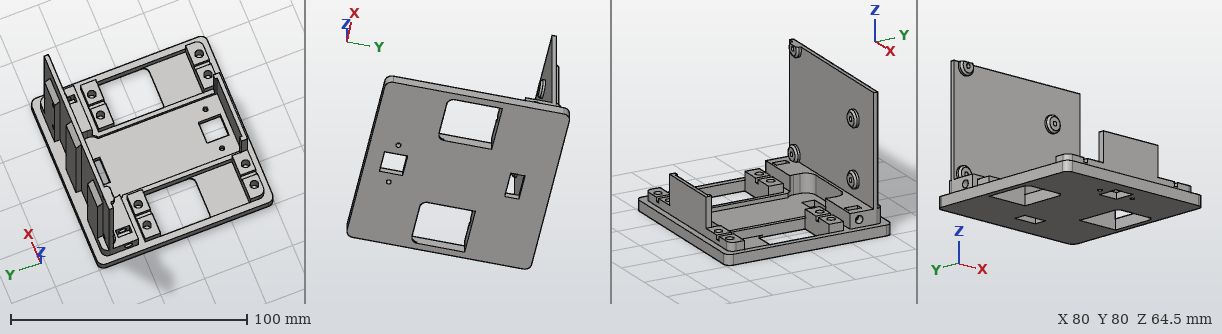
import cadquery as cq

plate_side = 80
plate_height = 5.0
corner_radius = 3.0

inner_side = 74.0
inner_edge = inner_side / 2
inner_corner_radius = 2.9

strip_width = 32
strip_edge = strip_width / 2
recess_width = 28
recess_floor = 3.0
recess_front_y = -35.2

pocket_x = (inner_edge + strip_edge) / 2
pocket_back_y = 18.0
pocket_floor = 1.0
opening_front_y = -12.5
opening_corner_radius = 2.8

post_depth = 7.0
post_top = 9.0
post_hole_diameter = 3.5
post_hole_spacing = 10.0
post_hole_inset = 3.0
post_hole_depth = 6.4
groove_size = 2.0

stop_depth = 2.8
stop_top = 23.0

block_front_y = 21.0
block_top = 12
bay_back_y = 31.0
bay_depth = 13.0
bay_corner_radius = 5.0

slot_x = 31.5
slot_width = 3.3
slot_length = 6.3
slot_y = 25.5
slot_floor = 6.0
screw_hole_z = 8.5
screw_hole_diameter = post_hole_diameter
screw_hole_depth = 9.6

wall_front_y = 32.5
wall_thickness = 2.0
wall_back_y = wall_front_y + wall_thickness
wall_top = 64.5

rib_depth = inner_edge - wall_back_y
rib_width = 11.2
side_rib_x = 24.5
side_rib_top = 54.4
middle_rib_top = wall_top

standoffs = [(-31.5, 14.9), (-30.5, 62.8), (20.3, 20), (20.3, 47.6)]
standoff_diameter = 8
standoff_length = 2.0
standoff_chamfer = 1.0
small_hole_diameter = 2.0

cable_opening = (12, 6.2)
cable_opening_y = 24.6
sensor_opening = (10.0, 10.0)
sensor_y = -28
sensor_hole_x = 9.4


def box(x_range, y_range, z_range):
    size = [high - low for low, high in (x_range, y_range, z_range)]
    start = (x_range[0], y_range[0], z_range[0])
    return cq.Workplane("XY").box(*size, centered=False).translate(start)


def upright_hole(x, y, diameter, z_range):
    low, high = z_range
    return cq.Workplane("XY", origin=(x, y, low)).circle(diameter / 2).extrude(high - low)


def hole_along_y(x, z, diameter, y_range):
    low, high = y_range
    return cq.Workplane("XZ", origin=(x, high, z)).circle(diameter / 2).extrude(high - low)


def base_plate():
    return (
        cq.Workplane("XY")
        .rect(plate_side, plate_side)
        .extrude(plate_height)
        .edges("|Z")
        .fillet(corner_radius)
    )


def inner_envelope():
    return (
        cq.Workplane("XY")
        .rect(inner_side, inner_side)
        .extrude(wall_top)
        .edges("|Z")
        .fillet(inner_corner_radius)
    )


def pocket_range(side):
    return sorted((side * strip_edge, side * inner_edge))


def side_pocket(side):
    x_range = pocket_range(side)
    floor_cut = box(x_range, (-inner_edge, pocket_back_y), (pocket_floor, plate_height))
    opening = (
        box(x_range, (opening_front_y, pocket_back_y), (0, plate_height))
        .edges("|Z and <Y")
        .fillet(opening_corner_radius)
    )
    return floor_cut.union(opening).intersect(inner_envelope())


def mounting_post(side, front_y, hole_y):
    x_range = pocket_range(side)
    y_range = (front_y, front_y + post_depth)
    post = box(x_range, y_range, (0, post_top))
    middle = side * pocket_x
    groove_range = (middle - groove_size / 2, middle + groove_size / 2)
    post = post.cut(box(groove_range, y_range, (post_top - groove_size, post_top)))
    for offset in (-post_hole_spacing / 2, post_hole_spacing / 2):
        depth_range = (post_top - post_hole_depth, post_top)
        post = post.cut(upright_hole(middle + offset, hole_y, post_hole_diameter, depth_range))
    return post


def back_block():
    """The back block, open behind the wall in the gaps between the stiffening ribs."""
    block = box((-inner_edge, inner_edge), (block_front_y, inner_edge), (0, block_top))
    for side in (-1, 1):
        x = side * slot_x
        slot = box(
            (x - slot_width / 2, x + slot_width / 2),
            (slot_y - slot_length / 2, slot_y + slot_length / 2),
            (slot_floor, block_top),
        )
        screw_hole = (
            cq.Workplane("YZ", origin=(side * inner_edge, slot_y, screw_hole_z))
            .circle(screw_hole_diameter / 2)
            .extrude(-side * screw_hole_depth)
        )
        gap_range = sorted((side * rib_width / 2, side * (side_rib_x - rib_width / 2)))
        gap = box(gap_range, (wall_back_y, inner_edge), (plate_height, block_top))
        block = block.cut(slot).cut(screw_hole).cut(gap)
    return block


def stiffening_rib(x, top):
    """A rib whose top slopes down at 45 degrees away from the wall."""
    profile = [
        (wall_back_y, 0),
        (inner_edge, 0),
        (inner_edge, top - rib_depth),
        (wall_back_y, top),
    ]
    return (
        cq.Workplane("YZ", origin=(x - rib_width / 2, 0, 0))
        .polyline(profile)
        .close()
        .extrude(rib_width)
    )


def standoff(x, z):
    return (
        cq.Workplane("XZ", origin=(x, wall_front_y, z))
        .circle(standoff_diameter / 2)
        .extrude(standoff_length)
        .faces("<Y")
        .chamfer(standoff_chamfer)
    )


def central_recess():
    recess_half = recess_width / 2
    bay_front_y = bay_back_y - bay_depth
    bay_middle_y = bay_back_y - bay_depth / 2
    z_range = (recess_floor, stop_top)
    channel = box((-recess_half, recess_half), (recess_front_y, bay_middle_y), z_range)
    bay = (
        box((-strip_edge, strip_edge), (bay_front_y, bay_back_y), z_range)
        .edges("|Z")
        .fillet(bay_corner_radius)
    )
    return channel.union(bay)


def floor_opening(size, y):
    return cq.Workplane("XY", origin=(0, y, 0)).rect(*size).extrude(plate_height)


def stop_wall():
    y_range = (-inner_edge, stop_depth - inner_edge)
    return box((-strip_edge, strip_edge), y_range, (0, stop_top))


def upright_wall():
    wall = box((-inner_edge, inner_edge), (wall_front_y, wall_back_y), (0, wall_top))
    wall = wall.union(stiffening_rib(0, middle_rib_top))
    for side in (-1, 1):
        wall = wall.union(stiffening_rib(side * side_rib_x, side_rib_top))
    for x, z in standoffs:
        wall = wall.union(standoff(x, z))
    return wall


result = base_plate()
for side in (-1, 1):
    result = result.cut(side_pocket(side))

standing = back_block().union(upright_wall()).union(stop_wall())
for side in (-1, 1):
    standing = standing.union(
        mounting_post(side, pocket_back_y - post_depth, pocket_back_y - post_hole_inset)
    )
    standing = standing.union(mounting_post(side, -inner_edge, post_hole_inset - inner_edge))
result = result.union(standing.intersect(inner_envelope()))

for x, z in standoffs:
    result = result.cut(
        hole_along_y(x, z, small_hole_diameter, (wall_front_y - standoff_length, inner_edge))
    )

result = result.cut(central_recess())
result = result.cut(floor_opening(cable_opening, cable_opening_y))
result = result.cut(floor_opening(sensor_opening, sensor_y))
for side in (-1, 1):
    sensor_x = side * sensor_hole_x
    result = result.cut(upright_hole(sensor_x, sensor_y, small_hole_diameter, (0, plate_height)))